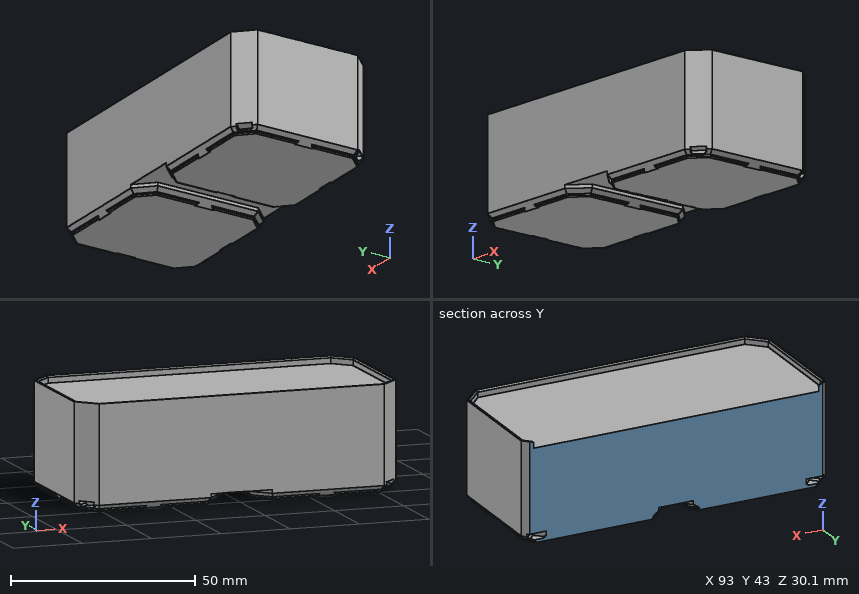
import cadquery as cq
import math

length = 93.0
width = 43.0
height = 30.1
corner = 5.3

foot_height = 3.1
foot_centre_x = (length - width) / 2
taper_height = 2.0
lip_inset = 1.2
lip_top = taper_height - lip_inset
lip_edge_chamfer = 0.4
lip_gap = 4.1

rim_depth = 2.0
rim_flat = 0.5
rim_wall = 0.9
rim_slope = rim_wall - rim_flat

slot_width = 4.4
slot_bottom = 1.0
slot_top = 2.8
slot_edge_chamfer = 0.6
slot_depth = 3.9


def octagon_points(size_x, size_y, inset=0.0):
    """Rectangle with chamfered corners, every side moved inward by inset."""
    half_x = size_x / 2 - inset
    half_y = size_y / 2 - inset
    leg = corner - inset * (2 - math.sqrt(2))
    return [
        (half_x, half_y - leg),
        (half_x - leg, half_y),
        (leg - half_x, half_y),
        (-half_x, half_y - leg),
        (-half_x, leg - half_y),
        (leg - half_x, -half_y),
        (half_x - leg, -half_y),
        (half_x, leg - half_y),
    ]


def octagon_prism(size_x, size_y, inset, bottom, top):
    """Straight octagonal block between two heights."""
    outline = cq.Workplane("XY").workplane(offset=bottom).polyline(octagon_points(size_x, size_y, inset))
    return outline.close().extrude(top - bottom)


def octagon_taper(size_x, size_y, inset_bottom, bottom, inset_top, top):
    """Octagonal block whose inset changes evenly from bottom to top."""
    lower = cq.Workplane("XY").workplane(offset=bottom)
    lower = lower.polyline(octagon_points(size_x, size_y, inset_bottom)).close()
    upper = lower.workplane(offset=top - bottom)
    upper = upper.polyline(octagon_points(size_x, size_y, inset_top)).close()
    return upper.loft(ruled=True, combine=True)


def make_lip():
    """Upright band standing out of the foot taper, open at the middle of each side."""
    chamfered_edge = octagon_taper(
        width, width, lip_inset + lip_edge_chamfer, 0, lip_inset, lip_edge_chamfer
    )
    lip = octagon_prism(width, width, lip_inset, lip_edge_chamfer, lip_top)
    lip = lip.union(chamfered_edge)
    half_top = lip_gap / 2
    half_bottom = half_top + lip_top
    gap = (
        cq.Workplane("YZ")
        .workplane(offset=width / 2 - taper_height)
        .polyline([(-half_bottom, 0), (half_bottom, 0), (half_top, lip_top), (-half_top, lip_top)])
        .close()
        .extrude(taper_height)
    )
    for angle in (0, 90, 180, 270):
        lip = lip.cut(gap.rotate((0, 0, 0), (0, 0, 1), angle))
    return lip


def make_foot():
    """Tapered octagonal foot with its lip."""
    foot = octagon_prism(width, width, 0, taper_height, foot_height)
    foot = foot.union(octagon_taper(width, width, taper_height, 0, 0, taper_height))
    return foot.union(make_lip())


def make_rim_recess():
    """Shallow top recess that leaves a rim with a 45 degree inner bevel."""
    floor = height - rim_depth
    slope_start = height - rim_slope
    recess = octagon_prism(length, width, rim_wall, floor, slope_start)
    return recess.union(octagon_taper(length, width, rim_wall, slope_start, rim_flat, height))


def make_corner_slot(side_x, side_y):
    """Slot cut square to one outer corner face, with its two lower edges chamfered."""
    plane = cq.Plane(
        origin=(side_x * (length - corner) / 2, side_y * (width - corner) / 2, 0),
        xDir=(side_y, -side_x, 0),
        normal=(-side_x, -side_y, 0),
    )
    half_width = slot_width / 2
    chamfer_top = slot_bottom + slot_edge_chamfer
    section = [
        (slot_edge_chamfer - half_width, slot_bottom),
        (half_width - slot_edge_chamfer, slot_bottom),
        (half_width, chamfer_top),
        (half_width, slot_top),
        (-half_width, slot_top),
        (-half_width, chamfer_top),
    ]
    return cq.Workplane(plane).polyline(section).close().extrude(slot_depth)


result = octagon_prism(length, width, 0, foot_height, height)
foot = make_foot()
for side in (-1, 1):
    result = result.union(foot.translate((side * foot_centre_x, 0, 0)))
result = result.cut(make_rim_recess())
for side_x in (-1, 1):
    for side_y in (-1, 1):
        result = result.cut(make_corner_slot(side_x, side_y))